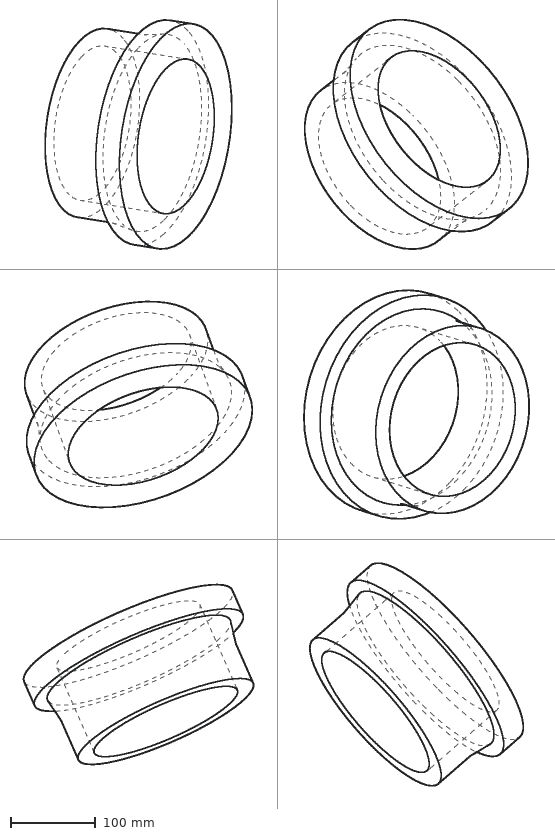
import cadquery as cq

total_length = 113.0
spigot_length = 52.0
flange_thickness = 32.0

bore_diameter = 184.0
spigot_diameter = 225.0
cone_end_diameter = 235.0
flange_diameter = 268.0

bore_radius = bore_diameter / 2
spigot_radius = spigot_diameter / 2
cone_end_radius = cone_end_diameter / 2
flange_radius = flange_diameter / 2
flange_start = total_length - flange_thickness


def stub_flange():
    """Revolve the wall section: straight spigot, widening cone, flange collar."""
    section = (
        cq.Workplane("XY")
        .moveTo(0, bore_radius)
        .lineTo(0, spigot_radius)
        .lineTo(spigot_length, spigot_radius)
        .lineTo(flange_start, cone_end_radius)
        .lineTo(flange_start, flange_radius)
        .lineTo(total_length, flange_radius)
        .lineTo(total_length, bore_radius)
        .close()
    )
    return section.revolve(360, (0, 0, 0), (1, 0, 0))


result = stub_flange()